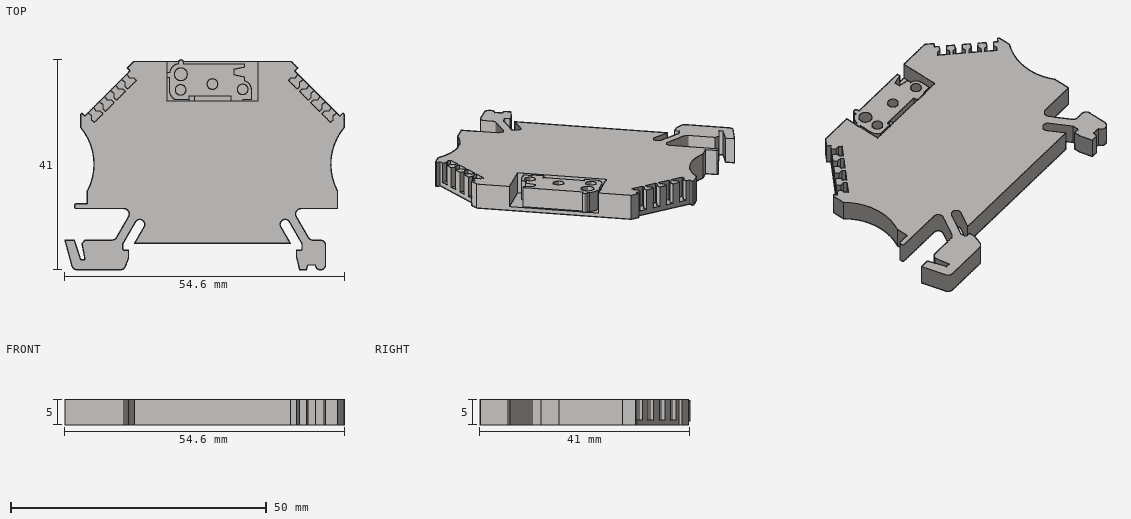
import cadquery as cq
import math

thickness = 5.0
body_top = 40.75
body_base = 5.2
body_half_width = 25.75
waist_half_width = 24.45
base_half_width = 15.3
top_half_width = 15.4
ledge_bottom = 11.95
ledge_thickness = 1.0
ledge_end_x = -26.9
ledge_radius = 0.35

grip_top = 27.85
grip_bottom = 15.4
grip_middle = (23.15, 20.75)

leg_tilt = math.radians(60)
leg_corner_x = 15.5
leg_radius = 1.05
relief_width = 1.9
relief_radius = relief_width / 2
relief_center = (14.2, 8.9)
foot_top = 5.85
ankle_half_width = 17.45
ankle_bottom = 3.9
ankle_radius = 0.2
foot_inner_x = 16.4

hook_left_x = -28.85
hook_bottom_left_x = -27.25
hook_bottom_right_x = -17.25
hook_flank_top = 2.3
hook_radius = 1.1
slit_bottom = 2.0
slit_chamfer_bottom = 5.15
slit_left_top_x = -26.95
slit_left_bottom_x = -25.7
slit_right_bottom_x = -24.9
slit_right_top_x = -25.5

toe_flank_top = 2.6
toe_bottom_left_x = 17.05
toe_bottom_right_x = 18.4
gap_left_x = 18.6
gap_top = 0.95
toe_right_x = 22.1
bump_width = 2.0

rail_step = 0.8
rail_half_length = 6.2
rail_shift = 0.7
slot_count = 4
slot_row_length = 9.25
slot_pitch = slot_row_length / (slot_count - 1)
slot_floor = 1.0
slot_mouth_half = 0.75
slot_throat_half = 0.6
slot_inner_half = 1.2
slot_throat_depth = 0.9
slot_flare_depth = 1.5
slot_depth = 2.2

pocket_width = 17.75
pocket_half_width = pocket_width / 2
pocket_bottom = 33.0
pocket_floor = 0.8
block_top_z = 4.8
block_right = 7.6
block_bottom = 33.3
block_top = 40.25
pivot = (-6.15, 38.2)
pivot_arc_radius = 2.2
pivot_hole_radius = 1.25
pin_hole_radius = 1.05
left_pin = (-6.2, 35.15)
left_arc_radius = 2.2
block_left = left_pin[0] - left_arc_radius
right_pin = (5.9, 35.25)
right_arc_radius = block_right - right_pin[0]
pin_holes = [left_pin, (0.0, 36.3), right_pin]
tab_half_width = 0.5
side_tab_y = 38.1
top_tab_x = -6.15
tab_tip = 41.05
shoulder_x = 6.3
jaw_depth_x = 4.25
jaw_outer_half = 1.0
jaw_inner_half = 0.55
jaw_center_y = 38.65
window_left = -4.6
window_right = 3.6
window_top = 33.95
window_step_x = -3.55
window_step_z = 4.3
heel_right = 6.0


def extrude(sketch, bottom, top):
    """Extrude a closed XY outline between two heights."""
    return sketch.extrude(top - bottom).translate((0, 0, bottom))


def box(x_min, x_max, y_min, y_max, z_min, z_max):
    size = (x_max - x_min, y_max - y_min, z_max - z_min)
    return cq.Workplane("XY").box(*size, centered=False).translate((x_min, y_min, z_min))


def fillet_at(solid, x, y, radius):
    """Round the upright edge that passes through (x, y)."""
    reach = 0.03
    low_corner = (x - reach, y - reach, 0)
    high_corner = (x + reach, y + reach, thickness)
    column = cq.selectors.BoxSelector(low_corner, high_corner)
    return solid.edges("|Z").edges(column).fillet(radius)


def make_body():
    """Plate with chamfered shoulders, finger grips and a ledge on the left."""
    chamfer = body_half_width - top_half_width
    outline = (
        cq.Workplane("XY")
        .moveTo(-base_half_width, body_base)
        .lineTo(base_half_width, body_base)
        .lineTo(base_half_width, ledge_bottom)
        .lineTo(waist_half_width, ledge_bottom)
        .lineTo(waist_half_width, grip_bottom)
        .threePointArc(grip_middle, (body_half_width, grip_top))
        .lineTo(body_half_width, body_top - chamfer)
        .lineTo(top_half_width, body_top)
        .lineTo(-top_half_width, body_top)
        .lineTo(-body_half_width, body_top - chamfer)
        .lineTo(-body_half_width, grip_top)
        .threePointArc((-grip_middle[0], grip_middle[1]), (-waist_half_width, grip_bottom))
        .lineTo(-waist_half_width, ledge_bottom)
        .lineTo(-base_half_width, ledge_bottom)
        .close()
    )
    ledge = box(ledge_end_x, -waist_half_width, ledge_bottom, ledge_bottom + ledge_thickness, 0, thickness)
    ledge = ledge.edges("|Z and <X").fillet(ledge_radius)
    return extrude(outline, 0, thickness).union(ledge)


def leg_outer_x(y):
    """Distance from X = 0 to the outer flank of a leg at height y."""
    return leg_corner_x + (ledge_bottom - y) / math.tan(leg_tilt)


def leg_points(side):
    """Closing points of a foot outline: from the foot top up the leg and back to the ankle."""
    return [
        (side * leg_outer_x(foot_top), foot_top),
        (side * leg_corner_x, ledge_bottom),
        (side * base_half_width, ledge_bottom),
        (side * base_half_width, body_base),
        (side * ankle_half_width, body_base),
        (side * ankle_half_width, ankle_bottom),
        (side * foot_inner_x, ankle_bottom),
    ]


def make_hook_foot():
    """Left foot with a slit that forms a spring hook, joined to its leg."""
    points = leg_points(-1) + [
        (-foot_inner_x, hook_flank_top),
        (hook_bottom_right_x, 0),
        (hook_bottom_left_x, 0),
        (hook_left_x, foot_top),
        (slit_left_top_x, foot_top),
        (slit_left_bottom_x, slit_bottom),
        (slit_right_bottom_x, slit_bottom),
        (slit_right_top_x, slit_chamfer_bottom),
        (slit_right_bottom_x, foot_top),
    ]
    foot = extrude(cq.Workplane("XY").polyline(points).close(), 0, thickness)
    for x in (hook_bottom_right_x, hook_bottom_left_x):
        foot = fillet_at(foot, x, 0, hook_radius)
    return foot


def make_toe_foot():
    """Right foot with a gap and a rounded bump underneath, joined to its leg."""
    outline = (
        cq.Workplane("XY")
        .polyline(leg_points(1))
        .lineTo(foot_inner_x, toe_flank_top)
        .lineTo(toe_bottom_left_x, 0)
        .lineTo(toe_bottom_right_x, 0)
        .lineTo(gap_left_x, gap_top)
        .lineTo(toe_right_x - bump_width, gap_top)
        .threePointArc((toe_right_x - bump_width / 2, 0), (toe_right_x, gap_top))
        .lineTo(toe_right_x, foot_top)
        .close()
    )
    foot = extrude(outline, 0, thickness)
    return fillet_at(foot, toe_right_x, foot_top, leg_radius)


def make_relief(side):
    """Round-ended slot that frees a leg from the body."""
    length = (relief_center[1] - body_base + relief_radius) / math.sin(leg_tilt)
    slot = cq.Workplane("XY").slot2D(length + 2 * relief_radius, 2 * relief_radius).extrude(thickness)
    slot = slot.translate((-length / 2, 0, 0)).rotate((0, 0, 0), (0, 0, 1), math.degrees(leg_tilt))
    slot = slot.translate((-relief_center[0], relief_center[1], 0))
    below = box(-2 * body_half_width, 0, -foot_top, body_base, 0, thickness)
    slot = slot.cut(below)
    return slot if side < 0 else slot.mirror("YZ")


def marker_slot(center):
    """Dovetail slot reaching down from the rail (local Y = 0) at a place along it."""
    half = [
        (slot_mouth_half, 0),
        (slot_throat_half, -slot_throat_depth),
        (slot_inner_half, -slot_flare_depth),
        (slot_inner_half, -slot_depth),
    ]
    points = [(center + x, y) for x, y in half]
    points += [(center - x, y) for x, y in reversed(half)]
    return extrude(cq.Workplane("XY").polyline(points).close(), slot_floor, thickness)


def make_rail_cut(side):
    """Shallow step along a sloped corner with its row of dovetail slots."""
    cut = box(-rail_half_length, rail_half_length, 0, 2 * rail_step, 0, thickness)
    for i in range(slot_count):
        cut = cut.union(marker_slot((i - (slot_count - 1) / 2) * slot_pitch))
    slope_middle_x = (body_half_width + top_half_width) / 2
    slope_middle_y = body_top - (body_half_width - top_half_width) / 2
    inset = rail_step / math.sqrt(2)
    cut = cut.translate((rail_shift, 0, 0)).rotate((0, 0, 0), (0, 0, 1), -45)
    cut = cut.translate((slope_middle_x - inset, slope_middle_y - inset, 0))
    return cut if side > 0 else cut.mirror("YZ")


def make_contact_block():
    """Drilled block with arcs around its holes, a jaw on the right and a stepped window below."""
    arc_start_x = pivot[0] - math.sqrt(pivot_arc_radius**2 - (block_top - pivot[1]) ** 2)
    left_arc_x = left_pin[0] - math.sqrt(left_arc_radius**2 - (left_pin[1] - block_bottom) ** 2)
    left_turn = left_arc_radius / math.sqrt(2)
    pivot_turn = pivot_arc_radius / math.sqrt(2)
    right_turn = right_arc_radius / math.sqrt(2)
    right_arc_top = right_pin[1] + math.sqrt(right_arc_radius**2 - (shoulder_x - right_pin[0]) ** 2)
    outline = (
        cq.Workplane("XY")
        .moveTo(block_left, left_pin[1])
        .threePointArc((left_pin[0] - left_turn, left_pin[1] - left_turn), (left_arc_x, block_bottom))
        .lineTo(window_right, block_bottom)
        .lineTo(window_right, pocket_bottom)
        .lineTo(heel_right, pocket_bottom)
        .lineTo(heel_right, block_bottom)
        .lineTo(block_right, block_bottom)
        .lineTo(block_right, right_pin[1])
        .threePointArc((right_pin[0] + right_turn, right_pin[1] + right_turn), (shoulder_x, right_arc_top))
        .lineTo(shoulder_x, jaw_center_y - jaw_outer_half)
        .lineTo(jaw_depth_x, jaw_center_y - jaw_inner_half)
        .lineTo(jaw_depth_x, jaw_center_y + jaw_inner_half)
        .lineTo(shoulder_x, jaw_center_y + jaw_outer_half)
        .lineTo(shoulder_x, block_top)
        .lineTo(arc_start_x, block_top)
        .threePointArc((pivot[0] - pivot_turn, pivot[1] + pivot_turn), (pivot[0] - pivot_arc_radius, pivot[1]))
        .lineTo(block_left, side_tab_y)
        .close()
    )
    block = extrude(outline, pocket_floor, block_top_z)
    side_tab = box(
        -pocket_half_width, pivot[0] - pivot_hole_radius,
        side_tab_y - tab_half_width, side_tab_y + tab_half_width,
        pocket_floor, block_top_z,
    )
    tip_center = tab_tip - tab_half_width
    top_tab = box(
        top_tab_x - tab_half_width, top_tab_x + tab_half_width,
        block_top - tab_half_width, tip_center, pocket_floor, block_top_z,
    )
    tip_circle = cq.Workplane("XY").center(top_tab_x, tip_center).circle(tab_half_width)
    tip = extrude(tip_circle, pocket_floor, block_top_z)
    block = block.union(side_tab).union(top_tab).union(tip)
    window = box(window_left, window_right, pocket_bottom, window_top, pocket_floor, block_top_z)
    window_step = box(window_left, window_step_x, pocket_bottom, window_top, pocket_floor, window_step_z)
    block = block.cut(window).union(window_step)
    holes = cq.Workplane("XY").pushPoints(pin_holes).circle(pin_hole_radius)
    pivot_hole = cq.Workplane("XY").center(*pivot).circle(pivot_hole_radius)
    for hole in (holes, pivot_hole):
        block = block.cut(extrude(hole, pocket_floor, block_top_z))
    return block


housing = make_body().union(make_hook_foot()).union(make_toe_foot())
for side in (-1, 1):
    housing = housing.cut(make_relief(side)).cut(make_rail_cut(side))
    for corner_x, corner_y, radius in (
        (leg_corner_x, ledge_bottom, leg_radius),
        (leg_outer_x(foot_top), foot_top, leg_radius),
        (ankle_half_width, ankle_bottom, ankle_radius),
    ):
        housing = fillet_at(housing, side * corner_x, corner_y, radius)

pocket = box(-pocket_half_width, pocket_half_width, pocket_bottom, body_top, pocket_floor, thickness)
result = housing.cut(pocket).union(make_contact_block())